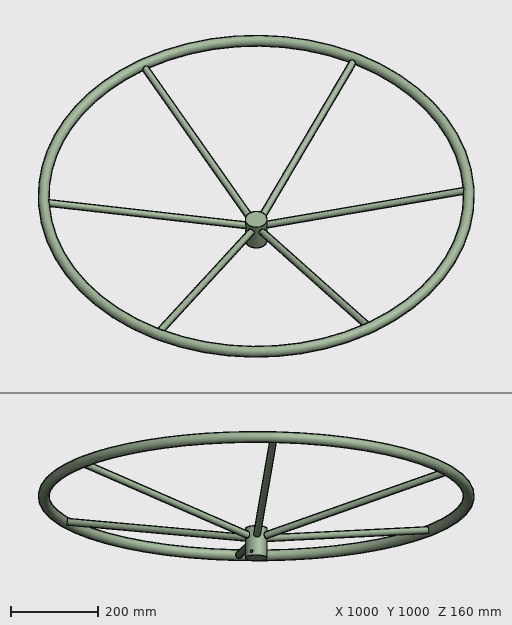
import cadquery as cq

OUTER_DIAMETER = 1000.0
TOTAL_HEIGHT = 160.0

RIM_BAR_DIAMETER = 25.0
RIM_RADIUS = (OUTER_DIAMETER - RIM_BAR_DIAMETER) / 2
RIM_Z = TOTAL_HEIGHT - RIM_BAR_DIAMETER / 2

HUB_DIAMETER = 50.0
HUB_HEIGHT = 70.0

SPOKE_COUNT = 6
SPOKE_DIAMETER = 16.0
FIRST_SPOKE_ANGLE = 30.0
SPOKE_START_Z = 46.0

SCREW_HOLE_DIAMETER = 6.0
SCREW_HOLE_Z = 10.0


def make_rim():
    bar_section = cq.Workplane("XZ").center(-RIM_RADIUS, RIM_Z).circle(RIM_BAR_DIAMETER / 2)
    return bar_section.revolve(360, (RIM_RADIUS, 0), (RIM_RADIUS, 1))


def make_hub():
    return cq.Workplane("XY").circle(HUB_DIAMETER / 2).extrude(HUB_HEIGHT)


def make_spoke(angle):
    start = cq.Vector(0, 0, SPOKE_START_Z)
    direction = cq.Vector(RIM_RADIUS, 0, RIM_Z - SPOKE_START_Z)
    spoke = cq.Solid.makeCylinder(SPOKE_DIAMETER / 2, direction.Length, start, direction)
    return cq.Workplane(spoke).rotate((0, 0, 0), (0, 0, 1), angle)


def make_screw_hole():
    start = cq.Vector(-HUB_DIAMETER / 2, 0, SCREW_HOLE_Z)
    hole = cq.Solid.makeCylinder(SCREW_HOLE_DIAMETER / 2, HUB_DIAMETER / 2, start, cq.Vector(1, 0, 0))
    return cq.Workplane(hole)


result = make_rim()
for index in range(SPOKE_COUNT):
    result = result.union(make_spoke(FIRST_SPOKE_ANGLE + index * 360.0 / SPOKE_COUNT))
result = result.union(make_hub()).cut(make_screw_hole())